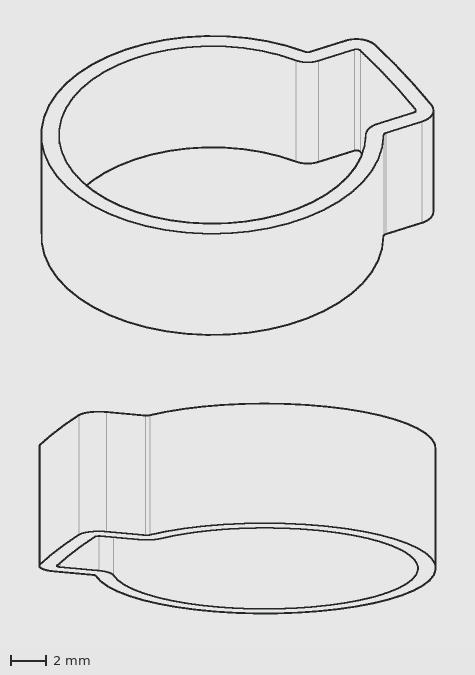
import cadquery as cq
import math

band_height = 7.0
wall = 1.0
ring_outer_radius = 9.65
ear_outer_width = 9.0
ear_top = 12.34
crown_outer_radius = 60.0
tight_bend_radius = 0.25
wide_bend_radius = tight_bend_radius + wall

side_x = ear_outer_width / 2
root_center_x = side_x + tight_bend_radius
root_center_distance = ring_outer_radius + tight_bend_radius
root_center_y = math.sqrt(root_center_distance**2 - root_center_x**2)
root_angle = math.atan2(root_center_y, root_center_x)

crown_center_y = ear_top - crown_outer_radius
corner_center_x = side_x - wide_bend_radius
corner_center_distance = crown_outer_radius - wide_bend_radius
corner_rise = math.sqrt(corner_center_distance**2 - corner_center_x**2)
corner_center_y = crown_center_y + corner_rise
corner_angle = math.atan2(corner_rise, corner_center_x)


def polar(center_x, center_y, radius, angle):
    """Point at the given angle on a circle."""
    return center_x + radius * math.cos(angle), center_y + radius * math.sin(angle)


def mirrored(point):
    """Point reflected across the YZ plane."""
    return -point[0], point[1]


def strip_face(inset):
    """Solid bounded by the strip's outer face moved inward by the inset."""
    ring_radius = ring_outer_radius - inset
    root_radius = tight_bend_radius + inset
    corner_radius = wide_bend_radius - inset
    wall_x = side_x - inset

    ring_end = polar(0, 0, ring_radius, root_angle)
    root_mid = polar(root_center_x, root_center_y, root_radius, math.pi + root_angle / 2)
    wall_bottom = (wall_x, root_center_y)
    wall_top = (wall_x, corner_center_y)
    corner_mid = polar(corner_center_x, corner_center_y, corner_radius, corner_angle / 2)
    crown_end = polar(corner_center_x, corner_center_y, corner_radius, corner_angle)
    crown_mid = (0, ear_top - inset)

    outline = (
        cq.Workplane("XY")
        .moveTo(*ring_end)
        .threePointArc(root_mid, wall_bottom)
        .lineTo(*wall_top)
        .threePointArc(corner_mid, crown_end)
        .threePointArc(crown_mid, mirrored(crown_end))
        .threePointArc(mirrored(corner_mid), mirrored(wall_top))
        .lineTo(*mirrored(wall_bottom))
        .threePointArc(mirrored(root_mid), mirrored(ring_end))
        .threePointArc((-ring_radius, 0), (0, -ring_radius))
        .threePointArc((ring_radius, 0), ring_end)
        .close()
    )
    return outline.extrude(band_height)


result = strip_face(0).cut(strip_face(wall))